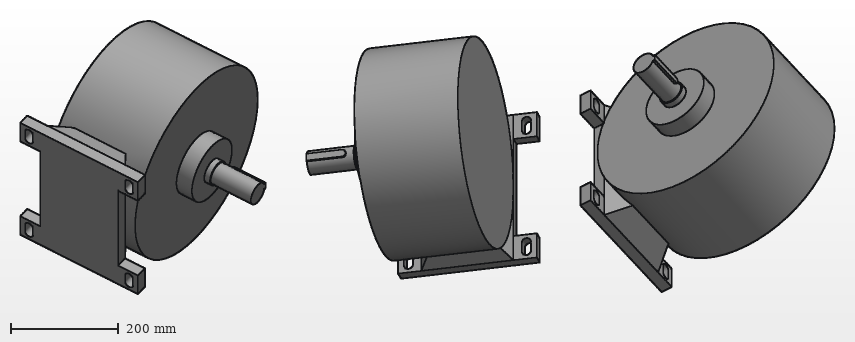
import cadquery as cq
import math

OVERALL_LENGTH = 383.5

DRUM_DIAMETER = 398.0
DRUM_LENGTH = 199.5
BOSS_DIAMETER = 130.0
BOSS_LENGTH = 35.0
COLLAR_DIAMETER = 50.0
COLLAR_LENGTH = 13.0
SHAFT_DIAMETER = 45.0

KEY_WIDTH = 14.0
KEY_LENGTH = 76.0
KEY_TOP = 26.0
KEY_DEPTH = 9.0

PLATE_THICKNESS = 23.0
PLATE_HEIGHT = 300.0
LUG_LENGTH = 45.0
LUG_HEIGHT = 50.0
WEB_WIDTH = 177.0

SLOT_LENGTH = 35.0
SLOT_WIDTH = 17.5
SLOT_EDGE_DISTANCE = 20.0

PEDESTAL_DEPTH = 60.0
PEDESTAL_SIDE_ANGLE = 34.2
PEDESTAL_END_ANGLE = 30.0

PLATE_BACK = -DRUM_DIAMETER / 2
PLATE_LENGTH = WEB_WIDTH + 2 * LUG_LENGTH
FOOT_CENTER_X = WEB_WIDTH / 2
SHAFT_END = OVERALL_LENGTH - LUG_LENGTH
BOSS_END = DRUM_LENGTH + BOSS_LENGTH
COLLAR_END = BOSS_END + COLLAR_LENGTH


def cylinder_along_x(diameter, start, end):
    return cq.Workplane("YZ").workplane(offset=start).circle(diameter / 2).extrude(end - start)


def make_drum_and_shaft():
    drum = cylinder_along_x(DRUM_DIAMETER, 0, DRUM_LENGTH)
    boss = cylinder_along_x(BOSS_DIAMETER, DRUM_LENGTH, BOSS_END)
    collar = cylinder_along_x(COLLAR_DIAMETER, BOSS_END, COLLAR_END)
    shaft = cylinder_along_x(SHAFT_DIAMETER, COLLAR_END, SHAFT_END)
    return drum.union(boss).union(collar).union(shaft)


def make_key():
    radius = KEY_WIDTH / 2
    key_start = SHAFT_END - KEY_LENGTH
    return (
        cq.Workplane("XZ", origin=(0, KEY_TOP, 0))
        .moveTo(SHAFT_END, -radius)
        .lineTo(SHAFT_END, radius)
        .lineTo(key_start + radius, radius)
        .threePointArc((key_start, 0), (key_start + radius, -radius))
        .close()
        .extrude(KEY_DEPTH)
    )


def plate_back_plane():
    """Workplane on the back of the foot plate, facing -Y through the plate."""
    return cq.Workplane("XZ", origin=(FOOT_CENTER_X, PLATE_BACK, 0))


def make_foot_plate():
    lug_z = (PLATE_HEIGHT - LUG_HEIGHT) / 2
    slot_x = PLATE_LENGTH / 2 - SLOT_EDGE_DISTANCE
    web = plate_back_plane().rect(WEB_WIDTH, PLATE_HEIGHT).extrude(PLATE_THICKNESS)
    lug_strips = (
        plate_back_plane()
        .pushPoints([(0, -lug_z), (0, lug_z)])
        .rect(PLATE_LENGTH, LUG_HEIGHT)
        .extrude(PLATE_THICKNESS)
    )
    slots = (
        plate_back_plane()
        .rarray(2 * slot_x, 2 * lug_z, 2, 2)
        .slot2D(SLOT_LENGTH, SLOT_WIDTH, 90)
        .extrude(PLATE_THICKNESS)
    )
    return web.union(lug_strips).cut(slots)


def make_pedestal():
    inner_width = WEB_WIDTH - 2 * PEDESTAL_DEPTH * math.tan(math.radians(PEDESTAL_SIDE_ANGLE))
    inner_height = PLATE_HEIGHT - 2 * PEDESTAL_DEPTH * math.tan(math.radians(PEDESTAL_END_ANGLE))
    return (
        plate_back_plane()
        .rect(WEB_WIDTH, PLATE_HEIGHT)
        .workplane(offset=-PEDESTAL_DEPTH)
        .rect(inner_width, inner_height)
        .loft(ruled=True)
    )


result = (
    make_drum_and_shaft()
    .union(make_key())
    .union(make_foot_plate())
    .union(make_pedestal())
)